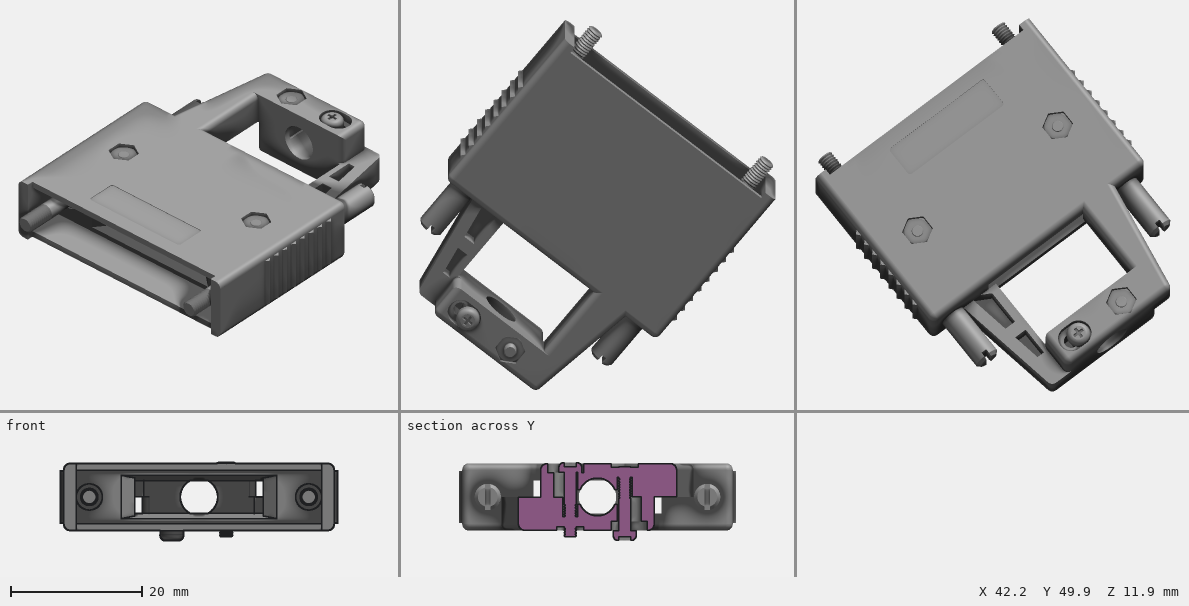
import cadquery as cq
import math


half_width = 20.6
body_height = 10.2
half_height = body_height / 2
body_back = 27.95
edge_radius = 1.0

ear_length = 1.05
pocket_half_width = 18.65
pocket_half_height = 4.1
pocket_depth = 6.0

throat_front_half_width = 11.8
throat_back_half_width = 9.75
throat_front_half_height = 3.3
throat_back_half_height = 2.5
throat_side_taper = 1.7
throat_height_taper = 2 * throat_side_taper

frame_top = 45.95
arm_outer_top_x = 11.55
arm_outer_base_x = 14.6
arm_inner_x = 8.35
bar_end_x = 8.65
bar_inner_y = 40.05
arm_slope = (arm_outer_base_x - arm_outer_top_x) / (frame_top - body_back)
arm_root_depth = 3.0
arm_root_y = body_back - arm_root_depth
cable_hole_diameter = 5.7
cable_groove_half_width = 3.0
cable_groove_half_height = 1.05
cable_groove_margin = 1.0

arm_wall = 1.9
arm_pocket_depth = 3.0
upper_pocket_x = 9.25
upper_pocket_y = (36.5, 41.05)
lower_pocket_x = 9.75
lower_pocket_y = (28.8, 34.5)
lower_pocket_corner_y = 27.1

nut_flats = 4.0
nut_clearance = 0.1
nut_height = 1.6
nut_recess = 0.55
nut_chamfer_height = 0.15
nut_chamfer_width = 0.3
body_nut_x = 13.5
body_nut_y = 15.1
nut_top_z = half_height - nut_recess
nut_bottom_z = nut_top_z - nut_height

screw_diameter = 1.95
screw_root_diameter = 1.6
screw_pitch = 0.4
screw_length = 11.3
body_screw_length = 3.5
body_screw_rise = 0.1
head_diameter = 3.6
head_height = 1.55
head_rise = 0.15
head_flat_diameter = 2.2
head_rim_height = 0.6
cross_span = 1.7
cross_width = 0.45
cross_depth = 0.6
clamp_screw_x = 4.15
clamp_screw_y = 42.95
screw_hole_diameter = 2.2
head_slot_diameter = 4.0
head_slot_travel = 1.4

thumb_x = 16.7
thumb_diameter = 4.0
thumb_end_y = 36.9
thumb_chamfer = 0.5
driver_slot_width = 0.9
driver_slot_depth = 1.2
thumb_seat_recess = 0.25
stud_diameter = 2.6
stud_root_diameter = 2.15
stud_pitch = 0.45
stud_end_y = -3.9
stud_thread_length = 4.5

ridge_count = 8
ridge_pitch = 2.0
ridge_first_y = 9.65
ridge_half_base = 0.6
width_over_ridges = 42.2
ridge_rise = width_over_ridges / 2 - half_width
ridge_half_length = 4.0

label_width = 18.3
label_length = 5.2
label_y = 4.95
label_radius = 0.45
label_depth = 0.1


def turn_over(shape):
    """Turn a shape half a turn about the Y axis, from one half shell to the other."""
    return shape.rotate((0, 0, 0), (0, 1, 0), 180)


def arm_outer_x(y):
    """Distance of an arm's sloping outer side from the middle plane."""
    return arm_outer_top_x + arm_slope * (frame_top - y)


def bar_corner_waste():
    """Material outside the upright rounding between the bar's end and its inner side."""
    centre_x = bar_end_x - edge_radius
    centre_y = bar_inner_y + edge_radius
    return (
        cq.Workplane("XY")
        .moveTo(centre_x, bar_inner_y)
        .radiusArc((bar_end_x, centre_y), -edge_radius)
        .lineTo(bar_end_x, bar_inner_y)
        .close()
        .extrude(half_height)
    )


def half_shell_blank():
    """Body half with the left arm and its bar, rounded on its outer edges."""
    body = (
        cq.Workplane("XY")
        .rect(2 * half_width, body_back + ear_length)
        .extrude(half_height)
        .translate((0, (body_back - ear_length) / 2, 0))
    )
    frame = (
        cq.Workplane("XY")
        .moveTo(-arm_outer_x(arm_root_y), arm_root_y)
        .lineTo(-arm_outer_top_x, frame_top)
        .lineTo(bar_end_x, frame_top)
        .lineTo(bar_end_x, bar_inner_y)
        .lineTo(-arm_inner_x, bar_inner_y)
        .lineTo(-arm_inner_x, arm_root_y)
        .close()
        .extrude(half_height)
    )
    shell = body.union(frame)
    rounded_corners = [
        (-half_width, body_back),
        (half_width, body_back),
        (-arm_outer_top_x, frame_top),
        (bar_end_x, frame_top),
    ]
    for x, y in rounded_corners:
        corner = cq.selectors.NearestToPointSelector((x, y, half_height / 2))
        shell = shell.edges("|Z").edges(corner).fillet(edge_radius)

    sharp_edges = cq.selectors.NearestToPointSelector((0, -ear_length, half_height))
    sharp_edges += cq.selectors.NearestToPointSelector((0, bar_inner_y, half_height))
    top_edges = shell.faces(">Z").edges()
    shell = top_edges.edges(cq.selectors.StringSyntaxSelector(">Z") - sharp_edges).fillet(edge_radius)
    return shell.cut(bar_corner_waste())


def hexagon(flats, height):
    """Hexagonal prism on the XY plane with two corners on the Y axis."""
    return (
        cq.Workplane("XY")
        .polygon(6, flats / math.cos(math.pi / 6))
        .extrude(height)
        .rotate((0, 0, 0), (0, 0, 1), 30)
    )


def nut_pocket(x, y):
    """Hexagonal recess from the outer face down to the underside of a nut."""
    return hexagon(nut_flats + nut_clearance, half_height).translate((x, y, nut_bottom_z))


def nut(x, y):
    """Nut with a through hole, its upper corners turned off."""
    turned = cq.Workplane("XY").circle(nut_flats / math.sqrt(3)).extrude(nut_height)
    turned = turned.faces(">Z").chamfer(nut_chamfer_height, nut_chamfer_width)
    bored = hexagon(nut_flats, nut_height).intersect(turned)
    bored = bored.cut(cq.Workplane("XY").circle(screw_root_diameter / 2).extrude(nut_height))
    return bored.translate((x, y, nut_bottom_z))


def arm_pockets():
    """Pockets in the left arm, open at the parting face."""
    low, high = upper_pocket_y
    upper = [
        (-upper_pocket_x, low),
        (-upper_pocket_x, high),
        (arm_wall - arm_outer_x(high), high),
        (arm_wall - arm_outer_x(low), low),
    ]
    low, high = lower_pocket_y
    lower = [
        (-lower_pocket_x, low),
        (-lower_pocket_x, high),
        (arm_wall - arm_outer_x(high), high),
        (arm_wall - arm_outer_x(lower_pocket_corner_y), lower_pocket_corner_y),
    ]
    upper_cut = cq.Workplane("XY").polyline(upper).close().extrude(arm_pocket_depth)
    lower_cut = cq.Workplane("XY").polyline(lower).close().extrude(arm_pocket_depth)
    return upper_cut.union(lower_cut)


def clamp_slot(diameter, depth):
    """Slot in the outer face of the bar, running from the screw toward the bar's end."""
    return (
        cq.Workplane("XY")
        .slot2D(diameter + head_slot_travel, diameter)
        .extrude(depth)
        .translate((clamp_screw_x + head_slot_travel / 2, clamp_screw_y, half_height - depth))
    )


def half_shell():
    """Upper half shell with its clamp seats."""
    clamp_hole = (
        cq.Workplane("XY")
        .center(-clamp_screw_x, clamp_screw_y)
        .circle(screw_hole_diameter / 2)
        .extrude(half_height)
    )
    return (
        half_shell_blank()
        .cut(arm_pockets())
        .cut(clamp_slot(head_slot_diameter, head_height - head_rise))
        .cut(clamp_slot(screw_hole_diameter, half_height))
        .cut(nut_pocket(-clamp_screw_x, clamp_screw_y))
        .cut(clamp_hole)
    )


def cable_passage():
    """Round hole through both bars, with a groove in its two side walls at the parting plane."""
    bar_depth = frame_top - bar_inner_y
    hole = (
        cq.Workplane("XZ", origin=(0, bar_inner_y, 0))
        .circle(cable_hole_diameter / 2)
        .extrude(-bar_depth)
    )
    groove = (
        cq.Workplane("XY")
        .box(
            2 * cable_groove_half_width,
            bar_depth - 2 * cable_groove_margin,
            2 * cable_groove_half_height,
        )
        .translate((0, bar_inner_y + bar_depth / 2, 0))
    )
    return hole.union(groove)


def connector_pocket():
    """Rectangular pocket behind the rim, and the gap between the two side ears."""
    pocket = cq.Workplane("XY").box(
        2 * pocket_half_width, pocket_depth, 2 * pocket_half_height, centered=(True, False, True)
    )
    ear_gap = cq.Workplane("XY").box(
        2 * pocket_half_width, ear_length, 2 * half_height, centered=(True, False, True)
    )
    return pocket.union(ear_gap.translate((0, -ear_length, 0)))


def throat():
    """Cable passage: a short funnel whose height narrows over a longer run than its sides."""
    plan = [
        (-throat_front_half_width, pocket_depth),
        (-throat_back_half_width, pocket_depth + throat_side_taper),
        (-throat_back_half_width, body_back),
        (throat_back_half_width, body_back),
        (throat_back_half_width, pocket_depth + throat_side_taper),
        (throat_front_half_width, pocket_depth),
    ]
    profile = [
        (pocket_depth, -throat_front_half_height),
        (pocket_depth + throat_height_taper, -throat_back_half_height),
        (body_back, -throat_back_half_height),
        (body_back, throat_back_half_height),
        (pocket_depth + throat_height_taper, throat_back_half_height),
        (pocket_depth, throat_front_half_height),
    ]
    plan_solid = cq.Workplane("XY").polyline(plan).close().extrude(half_height, both=True)
    profile_solid = cq.Workplane("YZ").polyline(profile).close().extrude(half_width, both=True)
    return plan_solid.intersect(profile_solid)


def grip_ridges():
    """Triangular ridges on both side walls."""
    ridges = cq.Workplane("XY")
    for side in (-1, 1):
        for index in range(ridge_count):
            y = ridge_first_y + index * ridge_pitch
            ridge = (
                cq.Workplane("XY")
                .moveTo(side * (half_width - ridge_rise), y - ridge_half_base)
                .lineTo(side * half_width, y - ridge_half_base)
                .lineTo(side * (half_width + ridge_rise), y)
                .lineTo(side * half_width, y + ridge_half_base)
                .lineTo(side * (half_width - ridge_rise), y + ridge_half_base)
                .close()
                .extrude(ridge_half_length, both=True)
            )
            ridges = ridges.add(ridge)
    return ridges.combine()


def label_recess():
    """Shallow rounded rectangle in the upper face."""
    return (
        cq.Workplane("XY")
        .box(label_width, label_length, label_depth, centered=(True, True, False))
        .edges("|Z")
        .fillet(label_radius)
        .translate((0, label_y, half_height - label_depth))
    )


def threaded_rod(diameter, root_diameter, pitch, length, thread_length):
    """Rod up from the XY plane whose upper end carries V-shaped thread rings and a chamfer."""
    radius = diameter / 2
    root = root_diameter / 2
    turns = int(thread_length / pitch)
    thread_start = length - (turns + 0.5) * pitch
    half_section = cq.Workplane("XZ").lineTo(radius, 0).lineTo(radius, thread_start)
    for turn in range(turns):
        z = thread_start + turn * pitch
        half_section = half_section.lineTo(root, z + pitch / 2).lineTo(radius, z + pitch)
    half_section = half_section.lineTo(root, length).lineTo(0, length).close()
    return half_section.revolve(360, (0, 0, 0), (0, 1, 0))


def clamp_screw():
    """Cross-recessed screw at the slot of the upper half shell, its head upward."""
    rod = threaded_rod(screw_diameter, screw_root_diameter, screw_pitch, screw_length, half_height)
    head_radius = head_diameter / 2
    flat_radius = head_flat_diameter / 2
    shoulder_radius = flat_radius + (head_radius - flat_radius) * math.sqrt(0.5)
    shoulder_z = (head_height - head_rim_height) * (1 - math.sqrt(0.5))
    head = (
        cq.Workplane("XZ")
        .lineTo(flat_radius, 0)
        .threePointArc((shoulder_radius, shoulder_z), (head_radius, head_height - head_rim_height))
        .lineTo(head_radius, head_height)
        .lineTo(0, head_height)
        .close()
        .revolve(360, (0, 0, 0), (0, 1, 0))
    )
    arm = cq.Workplane("XY").box(cross_span, cross_width, cross_depth, centered=(True, True, False))
    cross = arm.union(arm.rotate((0, 0, 0), (0, 0, 1), 90))
    screw = turn_over(rod.union(head).cut(cross))
    return screw.translate((clamp_screw_x, clamp_screw_y, half_height + head_rise))


def body_screw(x):
    """Screw end that shows in a body nut."""
    rod = threaded_rod(
        screw_diameter, screw_root_diameter, screw_pitch, body_screw_length, nut_height
    )
    return rod.translate((x, body_nut_y, nut_top_z + body_screw_rise - body_screw_length))


def thumbscrew(x):
    """Slotted thumbscrew through the body, ending in a threaded stud at the front."""
    seat_y = pocket_depth + thumb_seat_recess
    knob = (
        cq.Workplane("XZ", origin=(x, seat_y, 0))
        .circle(thumb_diameter / 2)
        .extrude(seat_y - thumb_end_y)
        .faces(">Y")
        .chamfer(thumb_chamfer)
    )
    driver_slot = (
        cq.Workplane("XY")
        .box(driver_slot_width, 2 * driver_slot_depth, thumb_diameter)
        .translate((x, thumb_end_y, 0))
    )
    stud = (
        threaded_rod(
            stud_diameter, stud_root_diameter, stud_pitch, seat_y - stud_end_y, stud_thread_length
        )
        .rotate((0, 0, 0), (1, 0, 0), 90)
        .translate((x, seat_y, 0))
    )
    return knob.cut(driver_slot).union(stud)


def thumbscrew_seat(x):
    """Shallow round recess in the floor of the connector pocket."""
    return (
        cq.Workplane("XZ", origin=(x, pocket_depth, 0))
        .circle(thumb_diameter / 2)
        .extrude(-thumb_seat_recess)
    )


upper_half = half_shell()
housing = (
    upper_half.union(turn_over(upper_half))
    .cut(connector_pocket())
    .cut(throat())
    .cut(cable_passage())
    .cut(label_recess())
    .union(grip_ridges())
)
for side_x in (-body_nut_x, body_nut_x):
    housing = housing.cut(nut_pocket(side_x, body_nut_y))
for side_x in (-thumb_x, thumb_x):
    housing = housing.cut(thumbscrew_seat(side_x))

standing_offset = head_rise - head_height
result = housing
for side_x in (-body_nut_x, body_nut_x):
    result = result.union(nut(side_x, body_nut_y)).union(body_screw(side_x))
for side_x in (-thumb_x, thumb_x):
    result = result.union(thumbscrew(side_x))
clamp_nut = nut(-clamp_screw_x, clamp_screw_y)
result = result.union(clamp_nut).union(turn_over(clamp_nut))
result = result.union(clamp_screw())
result = result.union(turn_over(clamp_screw()).translate((0, 0, standing_offset)))